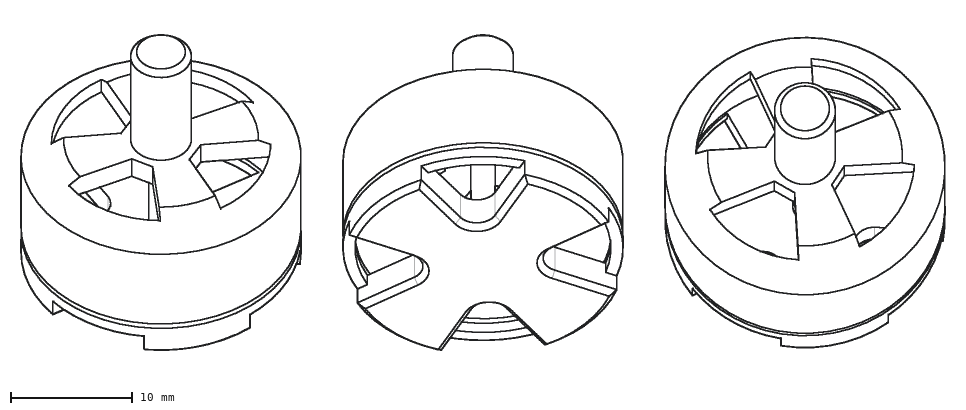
import cadquery as cq
import math

outer_radius = 11.5
inner_radius = 10.5
axle_radius = 1.0
repeat_count = 4
repeat_angle = 360 / repeat_count
diagonal_angle = repeat_angle / 2
wedge_end = 2 * outer_radius

base_height = 3.0
base_rim_height = 1.0
base_chamfer = 0.5
base_window_apex = 3.3
base_window_half_angle = 30.0
base_window_fillet = 1.65

air_gap = 0.5
bell_wall_height = 8.0
shoulder_height = 2.0
bell_top_radius = 8.0
bell_bottom = base_height + air_gap
shoulder_bottom = bell_bottom + bell_wall_height
bell_top = shoulder_bottom + shoulder_height
bell_window_outer_radius = 9.0
bell_window_apex = 1.8
bell_window_half_angle = 35.0
bell_window_inner_flat = 3.2

shaft_radius = 2.5
shaft_length = 10.0
shaft_chamfer = 0.5


def cylinder(radius, bottom, height):
    """Return a cylinder on the motor axis."""
    return cq.Workplane("XY").workplane(offset=bottom).circle(radius).extrude(height)


def wedge(apex, half_angle, start, bottom, height):
    """Return a wedge opening along +X past the rim; it starts at its apex or at a flat beyond it."""
    slope = math.tan(math.radians(half_angle))
    start_half_width = (start - apex) * slope
    end_half_width = (wedge_end - apex) * slope
    outline = cq.Workplane("XY").workplane(offset=bottom).moveTo(start, -start_half_width)
    outline = outline.lineTo(wedge_end, -end_half_width).lineTo(wedge_end, end_half_width)
    if start_half_width > 0:
        outline = outline.lineTo(start, start_half_width)
    return outline.close().extrude(height)


def cut_on_diagonals(body, cutter):
    """Cut the same shape out of the body on each diagonal between the X and Y axes."""
    for index in range(repeat_count):
        angle = diagonal_angle + index * repeat_angle
        body = body.cut(cutter.rotate((0, 0, 0), (0, 0, 1), angle))
    return body


def make_base():
    """Cross-shaped plate with four flared lugs, joined by a thin rim at its top."""
    cutter = wedge(base_window_apex, base_window_half_angle, base_window_apex, 0, base_height)
    cutter = cutter.edges("|Z and <X").fillet(base_window_fillet)
    cross = cut_on_diagonals(cylinder(outer_radius, 0, base_height), cutter)
    cross = cross.faces("<Z").chamfer(base_chamfer)
    rim_bottom = base_height - base_rim_height
    rim = cylinder(outer_radius, rim_bottom, base_rim_height)
    rim = rim.cut(cylinder(inner_radius, rim_bottom, base_rim_height))
    return cross.union(rim)


def make_bell():
    """Hollow can, open below, with a conical shoulder and four windows between its spokes."""
    profile = (
        cq.Workplane("XZ")
        .moveTo(0, shoulder_bottom)
        .lineTo(inner_radius, shoulder_bottom)
        .lineTo(inner_radius, bell_bottom)
        .lineTo(outer_radius, bell_bottom)
        .lineTo(outer_radius, shoulder_bottom)
        .lineTo(bell_top_radius, bell_top)
        .lineTo(0, bell_top)
        .close()
    )
    bell = profile.revolve(360, (0, 0, 0), (0, 1, 0))
    window = wedge(
        bell_window_apex, bell_window_half_angle, bell_window_inner_flat, shoulder_bottom, shoulder_height
    )
    window = window.intersect(cylinder(bell_window_outer_radius, shoulder_bottom, shoulder_height))
    return cut_on_diagonals(bell, window)


def make_shaft():
    """Propeller shaft with a chamfered tip."""
    return cylinder(shaft_radius, bell_top, shaft_length).faces(">Z").chamfer(shaft_chamfer)


axle = cylinder(axle_radius, 0, bell_top)

result = make_base().union(make_bell()).union(make_shaft()).union(axle)